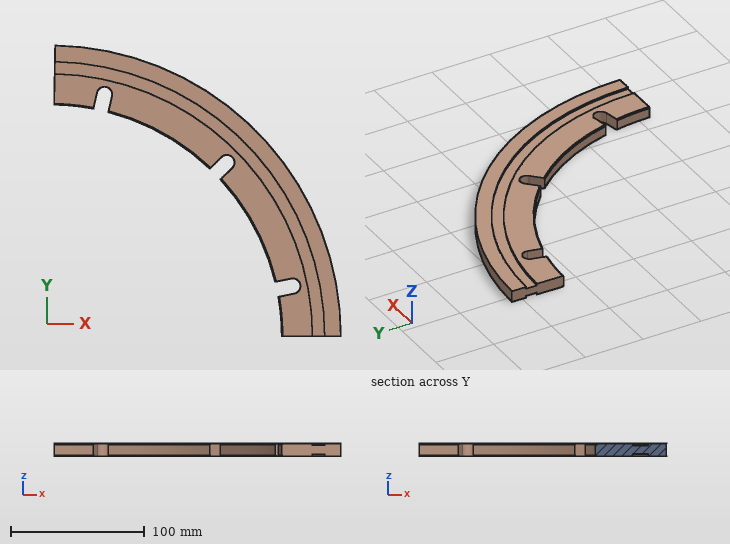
import cadquery as cq

outer_radius = 217.5
radial_width = 44.4
inner_radius = outer_radius - radial_width
thickness = 9.5
sweep_angle = 89.0
inner_chamfer = 0.9

groove_outer_radius = outer_radius - 12.2
groove_width = 9.1
groove_inner_radius = groove_outer_radius - groove_width
groove_depth = 1.5

slot_width = 11.3
slot_tip_radius = 191.0
slot_pitch_angle = 32.8
slot_angles = [sweep_angle / 2 + step * slot_pitch_angle for step in (-1, 0, 1)]


def make_sector():
    """Revolve the chamfered, grooved cross-section about the Z axis."""
    half = thickness / 2
    groove_floor = half - groove_depth
    profile = (
        cq.Workplane("XZ")
        .moveTo(inner_radius, -half + inner_chamfer)
        .lineTo(inner_radius, half - inner_chamfer)
        .lineTo(inner_radius + inner_chamfer, half)
        .lineTo(groove_inner_radius, half)
        .lineTo(groove_inner_radius, groove_floor)
        .lineTo(groove_outer_radius, groove_floor)
        .lineTo(groove_outer_radius, half)
        .lineTo(outer_radius, half)
        .lineTo(outer_radius, -half)
        .lineTo(groove_outer_radius, -half)
        .lineTo(groove_outer_radius, -groove_floor)
        .lineTo(groove_inner_radius, -groove_floor)
        .lineTo(groove_inner_radius, -half)
        .lineTo(inner_radius + inner_chamfer, -half)
        .close()
    )
    return profile.revolve(sweep_angle, (0, 0, 0), (0, 1, 0))


def make_slot(angle):
    """Cutter for one slot, running radially at the given angle."""
    tip_center = slot_tip_radius - slot_width / 2
    mouth_center = inner_radius - slot_width
    return (
        cq.Workplane("XY")
        .center((tip_center + mouth_center) / 2, 0)
        .slot2D(tip_center - mouth_center + slot_width, slot_width)
        .extrude(thickness, both=True)
        .rotate((0, 0, 0), (0, 0, 1), angle)
    )


result = make_sector()
for slot_angle in slot_angles:
    result = result.cut(make_slot(slot_angle))